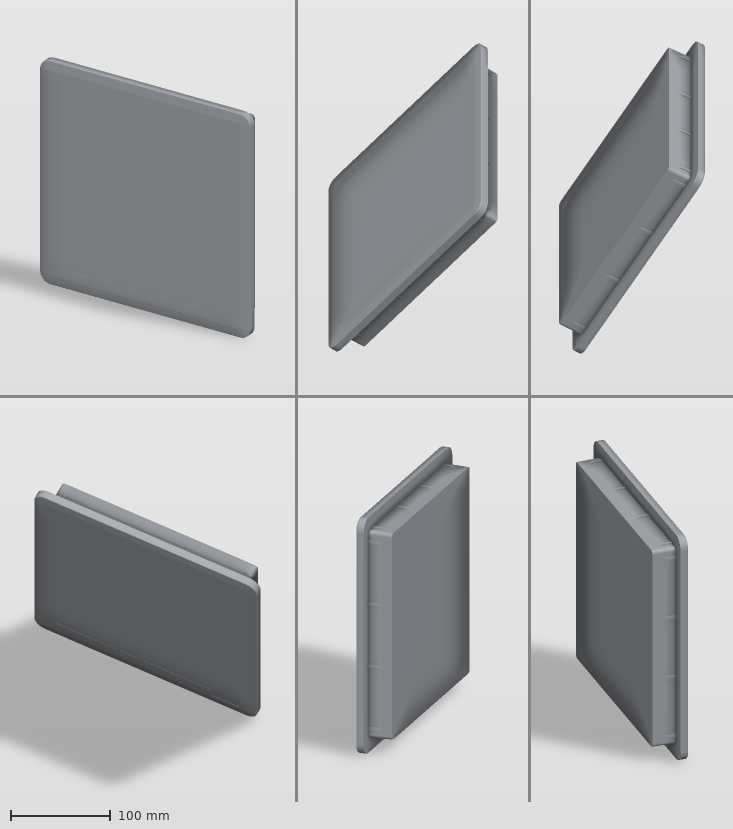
import cadquery as cq
import math

flange_size = 250.0
flange_corner_radius = 12.5
edge_radius = 1.0
border_width = 10.3
border_rise = 1.0
front_y = 0.0
overall_depth = 33.8
body_depth = 24.5
flange_back_y = overall_depth - body_depth
border_start_y = front_y + border_rise
rim_tolerance = 0.3

body_base_size = 220.4
body_corner_radius = 3.8
body_draft = 1.0

panel_half_width = 105.0
panel_top_z = 105.0
panel_bottom_z = -103.0
tab_left_x = 75.0
tab_bottom_z = -113.0
panel_recess = 0.18

body_sides = 4
rib_count = 4
rib_pitch = 66.3
rib_base_width = 3.0
rib_tip_width = 2.8
rib_height = 14.5
rib_flat_height = 9.0
rib_reach = 1.3
rib_root = 2.5


def tapered_layer(front, back, inset):
    """Flange layer whose outline shrinks by inset from the back depth to the front depth."""
    depth = back - front
    angle = math.degrees(math.atan2(inset, depth))
    plane = cq.Plane(origin=(0, back, 0), xDir=(1, 0, 0), normal=(0, -1, 0))
    outline = cq.Sketch().rect(flange_size, flange_size).vertices().fillet(flange_corner_radius)
    return cq.Workplane(plane).placeSketch(outline).extrude(depth, taper=angle)


def make_flange():
    """Flat plate and sloping border, with the rim between them rounded."""
    plate = tapered_layer(border_start_y, flange_back_y, inset=0)
    border = tapered_layer(front_y, border_start_y, inset=border_width)
    rim = cq.selectors.BoxSelector(
        (-flange_size, border_start_y - rim_tolerance, -flange_size),
        (flange_size, border_start_y + rim_tolerance, flange_size),
    )
    return plate.union(border).edges(rim).fillet(edge_radius)


def make_body():
    """Drafted box with rounded corner edges, growing back from the flange."""
    plane = cq.Plane(origin=(0, flange_back_y, 0), xDir=(1, 0, 0), normal=(0, 1, 0))
    box = cq.Workplane(plane).rect(body_base_size, body_base_size).extrude(body_depth, taper=body_draft)
    return box.edges("not(#Y)").fillet(body_corner_radius)


def make_rib(x):
    """Rib on the top side, with a sloping tip that runs out into the body."""
    side_z = body_base_size / 2
    tip_z = side_z - rib_height * math.tan(math.radians(body_draft))
    tip_y = flange_back_y + rib_height
    root_z = side_z - rib_root
    crest_z = side_z + rib_reach
    profile = [
        (flange_back_y, root_z),
        (flange_back_y, crest_z),
        (flange_back_y + rib_flat_height, crest_z),
        (tip_y, tip_z),
        (tip_y, root_z),
    ]
    footprint = [
        (-rib_base_width / 2, flange_back_y),
        (rib_base_width / 2, flange_back_y),
        (rib_tip_width / 2, tip_y),
        (-rib_tip_width / 2, tip_y),
    ]
    side_shape = cq.Workplane("YZ").polyline(profile).close().extrude(rib_base_width / 2, both=True)
    top_shape = cq.Workplane("XY").polyline(footprint).close().extrude(crest_z)
    return side_shape.intersect(top_shape).translate((x, 0, 0))


def make_panel_recess():
    """Cutter for the shallow panel area and its corner tab."""
    outline = [
        (-panel_half_width, panel_top_z),
        (panel_half_width, panel_top_z),
        (panel_half_width, tab_bottom_z),
        (tab_left_x, tab_bottom_z),
        (tab_left_x, panel_bottom_z),
        (-panel_half_width, panel_bottom_z),
    ]
    return cq.Workplane("XZ").polyline(outline).close().extrude(-panel_recess)


result = make_flange().union(make_body())
for index in range(rib_count):
    rib = make_rib((index - (rib_count - 1) / 2) * rib_pitch)
    for side in range(body_sides):
        result = result.union(rib.rotate((0, 0, 0), (0, 1, 0), 360 / body_sides * side))
result = result.cut(make_panel_recess())